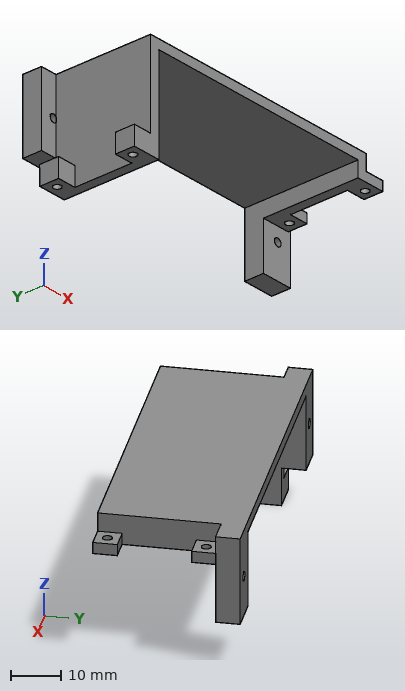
import cadquery as cq

length = 75.5
depth = 30.0
height = 27.5

wall = 2.5
pad = 5.0
hole_diameter = 2.0

flange_depth = 5.0
flange_height = 19.1
flange_left = 0.5
flange_hole_drop = 10.3
flange_hole_x = (4.15, 71.65)

left_wall_x = 4.9
left_inner_x = left_wall_x + wall
plate_right_x = 69.8
right_inner_x = plate_right_x - wall
right_tab_end_x = plate_right_x + pad

right_leg_height = 6.6

body_depth = depth - flange_depth
pad_front_y = (0, body_depth - pad)


def box(x0, x1, y0, y1, z0, z1):
    """Block between opposite corners."""
    return cq.Workplane("XY").box(x1 - x0, y1 - y0, z1 - z0, centered=False).translate((x0, y0, z0))


leg_bottom = height - right_leg_height
body = box(left_wall_x, plate_right_x, 0, body_depth, height - wall, height)
body = body.union(box(left_wall_x, left_inner_x, 0, body_depth, 0, height))
body = body.union(box(right_inner_x, plate_right_x, 0, body_depth, leg_bottom, height))

flange_bottom = height - flange_height
body = body.union(box(flange_left, length, body_depth, depth, height - wall, height))
for x0, x1 in ((flange_left, left_inner_x), (right_inner_x, length)):
    body = body.union(box(x0, x1, body_depth, depth, flange_bottom, height))

for y0 in pad_front_y:
    body = body.union(box(0, left_wall_x, y0, y0 + pad, 0, pad))
    body = body.union(box(plate_right_x, right_tab_end_x, y0, y0 + pad, leg_bottom, leg_bottom + wall))

for x in (left_wall_x / 2, plate_right_x + pad / 2):
    for y0 in pad_front_y:
        hole = cq.Workplane("XY").center(x, y0 + pad / 2).circle(hole_diameter / 2).extrude(height)
        body = body.cut(hole)

for x in flange_hole_x:
    hole = (
        cq.Workplane("XZ", origin=(0, depth, 0))
        .center(x, height - flange_hole_drop)
        .circle(hole_diameter / 2)
        .extrude(flange_depth)
    )
    body = body.cut(hole)

result = body.clean()